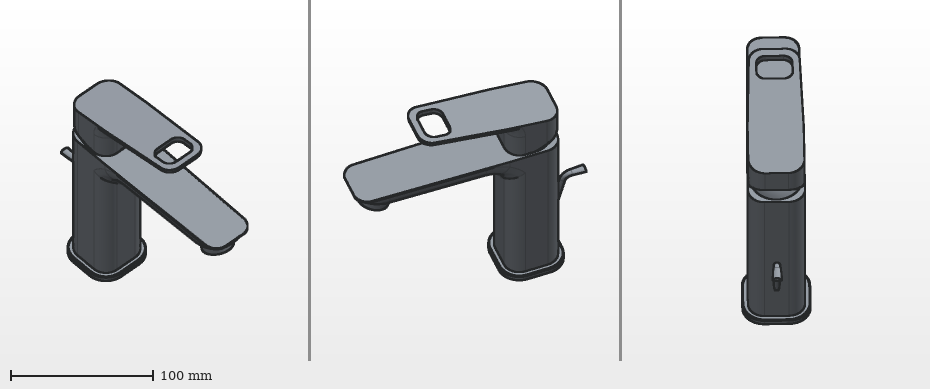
import cadquery as cq
import math


column_width = 40.3
half_column = column_width / 2
corner_radius = 11.5
plate_width = 48.1
plate_height = 4.3
plate_chamfer = 0.7

spout_top = 126.0
spout_bottom = 108.2
spout_end = 133.9
spout_end_width = 36.4
spout_root_radius = 17.1
spout_nose_radius = 25.0
spout_side_radius = 17.0
spout_rim_radius = 10.7
rim_thickness = 1.2

aerator_radius = 11.8
aerator_length = 14.3
aerator_tilt = 17.0
aerator_face_x = 116.2
aerator_face_z = 105.9

dome_radius = half_column
dome_center_z = 116.5

lever_width = 39.5
lever_end_width = 35.3
lever_back = -19.6
lever_end = 85.4
lever_back_top = 156.3
lever_tip_top = 169.1
lever_thickness = 4.6
lever_end_radius = 9.8
neck_front = 19.8
neck_bottom = 128.5
neck_flat_start = 0.4
neck_back_bottom = 138.3
neck_root_radius = 9.8

window_start = 60.2
window_end = 79.5
window_width = 25.7
window_radius = 6.5

rod_radius = 2.1
rod_tilt = 15.0
rod_top_x = -27.6
rod_top_z = 66.7
rod_length = 35.6
tab_end = -44.4
tab_bend_start = -34.2
tab_z = 70.8
tab_end_width = 6.8
tab_bend_width = 5.3
tab_thickness = 3.2

lever_slope = (lever_tip_top - lever_back_top) / (lever_end - lever_back)
clearance = 1.8
above_everything = lever_tip_top + spout_top


def lever_top_at(x):
    """Height of the sloping top face of the lever."""
    return lever_back_top + lever_slope * (x - lever_back)


def side_block(outline):
    """Block as wide as the column, from a closed outline in the XZ plane."""
    return outline.extrude(half_column, both=True)


def plan_block(x_start, x_taper, x_end, width, end_width):
    """Tall block, of constant width up to x_taper and then narrowing to end_width."""
    outline = [
        (x_start, -width / 2),
        (x_taper, -width / 2),
        (x_end, -end_width / 2),
        (x_end, end_width / 2),
        (x_taper, width / 2),
        (x_start, width / 2),
    ]
    return cq.Workplane("XY").polyline(outline).close().extrude(above_everything)


def edge_near(solid, x, y, z):
    return solid.edges(cq.selectors.NearestToPointSelector((x, y, z)))


def rounded_arm(block, plan, front, width, foot, underside, root_radius, side_radius):
    """Fillet the corner below the arm, then the two edges that run up its front and along its underside."""
    arm = edge_near(block, front, 0, underside).fillet(root_radius).intersect(plan)
    front_middle = (foot + underside - root_radius) / 2
    for side in (-1, 1):
        arm = edge_near(arm, front, side * width / 2, front_middle).fillet(side_radius)
    return arm


def make_plate():
    plate_corner = corner_radius + (plate_width - column_width) / 2
    plate = cq.Workplane("XY").rect(plate_width, plate_width).extrude(plate_height)
    return plate.edges("|Z").fillet(plate_corner).faces(">Z").chamfer(plate_chamfer)


def make_column():
    column = cq.Workplane("XY").rect(column_width, column_width).extrude(spout_top)
    return column.edges("|Z").fillet(corner_radius)


def make_spout():
    rise_below_center = spout_nose_radius - (spout_top - spout_bottom)
    nose_length = math.sqrt(spout_nose_radius**2 - rise_below_center**2)
    profile = (
        cq.Workplane("XZ")
        .moveTo(0, 0)
        .lineTo(half_column, 0)
        .lineTo(half_column, spout_bottom)
        .lineTo(spout_end - nose_length, spout_bottom)
        .tangentArcPoint((spout_end, spout_top), relative=False)
        .lineTo(0, spout_top)
        .close()
    )
    block = side_block(profile)
    plan = plan_block(0, half_column, spout_end, column_width, spout_end_width)
    arm = rounded_arm(
        block, plan, half_column, column_width, 0, spout_bottom, spout_root_radius, spout_side_radius
    )

    rim_slab = cq.Workplane("XY").box(2 * spout_end, column_width, 2 * rim_thickness)
    rim_slab = rim_slab.translate((0, 0, spout_top))
    rim_plan = plan.edges("|Z and >X").fillet(spout_rim_radius)
    rim = block.intersect(rim_slab).intersect(rim_plan)
    return arm.union(rim)


def make_aerator():
    tilt = math.radians(aerator_tilt)
    face = cq.Plane(
        origin=(aerator_face_x, 0, aerator_face_z),
        xDir=(math.cos(tilt), 0, math.sin(tilt)),
        normal=(-math.sin(tilt), 0, math.cos(tilt)),
    )
    return cq.Workplane(face).circle(aerator_radius).extrude(aerator_length)


def make_dome():
    ball = cq.Workplane("XY").sphere(dome_radius).translate((0, 0, dome_center_z))
    inside = cq.Workplane("XY").rect(column_width, column_width).extrude(neck_back_bottom)
    return ball.intersect(inside)


def lever_slab(depth):
    """Slab of the given upright depth directly under the sloping top face."""
    outline = [
        (lever_back, lever_back_top),
        (lever_end, lever_tip_top),
        (lever_end, lever_tip_top - depth),
        (lever_back, lever_back_top - depth),
    ]
    return side_block(cq.Workplane("XZ").polyline(outline).close())


def make_lever():
    plan = plan_block(lever_back, neck_front, lever_end, lever_width, lever_end_width)

    raised = corner_radius + clearance
    arm_end = lever_end - lever_end_radius
    under_front = lever_top_at(neck_front) - lever_thickness
    profile = (
        cq.Workplane("XZ")
        .moveTo(lever_back, neck_back_bottom)
        .lineTo(neck_flat_start, neck_bottom)
        .lineTo(neck_front, neck_bottom)
        .lineTo(neck_front, under_front)
        .lineTo(arm_end, lever_top_at(arm_end) - lever_thickness)
        .lineTo(arm_end, lever_top_at(arm_end) + raised)
        .lineTo(lever_back, lever_top_at(lever_back) + raised)
        .close()
    )
    arm = rounded_arm(
        side_block(profile),
        plan,
        neck_front,
        lever_width,
        neck_bottom,
        under_front,
        neck_root_radius,
        corner_radius,
    )
    arm = arm.edges("|Z and <X").fillet(corner_radius)
    arm = arm.intersect(lever_slab(lever_back_top))

    plate_plan = plan.edges("|Z and >X").fillet(lever_end_radius).edges("|Z and <X").fillet(corner_radius)
    top_normal = cq.Vector(-lever_slope, 0, 1)
    underside = cq.selectors.DirectionMinMaxSelector(top_normal, directionMax=False)
    plate = lever_slab(lever_thickness).intersect(plate_plan)
    plate = plate.faces(underside).edges().fillet(lever_thickness - rim_thickness)
    return arm.union(plate).cut(make_window())


def make_window():
    window = cq.Workplane("XY", origin=((window_start + window_end) / 2, 0, spout_top + clearance))
    window = window.rect(window_end - window_start, window_width).extrude(above_everything)
    return window.edges("|Z").fillet(window_radius)


def make_pull_rod():
    tilt = math.radians(rod_tilt)
    rod_start = cq.Vector(rod_top_x, 0, rod_top_z)
    rod_plane = cq.Plane(origin=rod_start, xDir=(0, 1, 0), normal=(math.sin(tilt), 0, -math.cos(tilt)))
    rod = cq.Workplane(rod_plane).circle(rod_radius).extrude(rod_length)

    tab = (
        cq.Workplane(cq.Plane(origin=(tab_end, 0, tab_z), xDir=(0, 1, 0), normal=(1, 0, 0)))
        .ellipse(tab_end_width / 2, tab_thickness / 2)
        .workplane(offset=tab_bend_start - tab_end)
        .ellipse(tab_bend_width / 2, tab_thickness / 2)
        .loft()
    )

    bend_start = cq.Vector(tab_bend_start, 0, tab_z)
    bend_path = cq.Edge.makeTangentArc(bend_start, cq.Vector(1, 0, 0), rod_start)
    bend = (
        cq.Workplane(cq.Plane(origin=bend_start, xDir=(0, 1, 0), normal=(1, 0, 0)))
        .ellipse(tab_bend_width / 2, tab_thickness / 2)
        .add(cq.Workplane(rod_plane).circle(rod_radius))
        .toPending()
        .sweep(cq.Workplane(bend_path), multisection=True)
    )
    return rod.union(bend).union(tab)


result = (
    make_column()
    .union(make_spout())
    .union(make_plate())
    .union(make_aerator())
    .union(make_dome())
    .union(make_lever())
    .union(make_pull_rod())
)